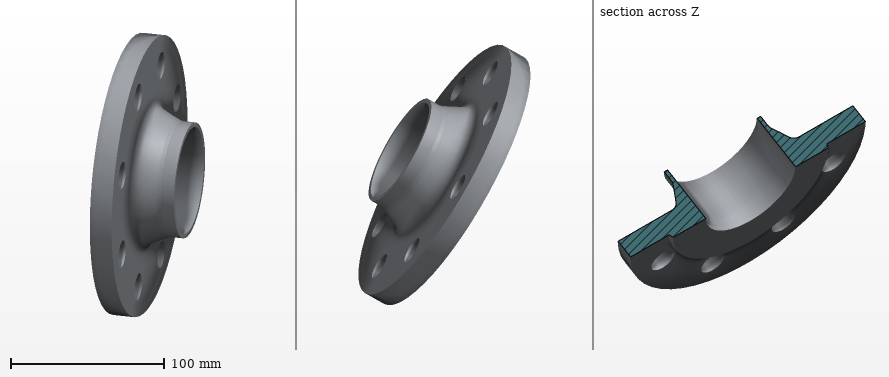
import cadquery as cq

total_length = 45.0
raised_face_height = 3.1
flange_back = 18.0
neck_straight_length = 10.0
cone_end = total_length - neck_straight_length

flange_diameter = 185.0
raised_face_diameter = 122.1
raised_face_root_diameter = 124.3
hub_diameter = 92.5
neck_diameter = 76.0
bore_diameter = 70.3

hub_fillet_radius = 6.5
neck_fillet_radius = 6.0

bolt_count = 8
bolt_hole_diameter = 18.0
bolt_circle_diameter = 145.0
bolt_start_angle = 180.0 / bolt_count


def make_body():
    """Revolve the flange, tapered hub and neck about the X axis."""
    profile = (
        cq.Workplane("XY")
        .moveTo(0, 0)
        .lineTo(0, raised_face_diameter / 2)
        .lineTo(raised_face_height, raised_face_root_diameter / 2)
        .lineTo(raised_face_height, flange_diameter / 2)
        .lineTo(flange_back, flange_diameter / 2)
        .lineTo(flange_back, hub_diameter / 2)
        .lineTo(cone_end, neck_diameter / 2)
        .lineTo(total_length, neck_diameter / 2)
        .lineTo(total_length, 0)
        .close()
    )
    return profile.revolve(360, (0, 0, 0), (1, 0, 0))


def blend_circle(body, x, diameter, radius):
    """Fillet the circular edge of the given diameter at position x."""
    half = diameter / 2
    margin = 0.2
    edge_zone = cq.selectors.BoxSelector(
        (x - margin, -half - margin, -half - margin),
        (x + margin, half + margin, half + margin),
        boundingbox=True,
    )
    return body.edges(edge_zone).fillet(radius)


def cut_bore(body):
    bore = cq.Workplane("YZ").circle(bore_diameter / 2).extrude(total_length)
    return body.cut(bore)


def cut_bolt_holes(body):
    holes = (
        cq.Workplane("YZ")
        .polarArray(bolt_circle_diameter / 2, bolt_start_angle, 360, bolt_count)
        .circle(bolt_hole_diameter / 2)
        .extrude(flange_back)
    )
    return body.cut(holes)


body = make_body()
body = blend_circle(body, flange_back, hub_diameter, hub_fillet_radius)
body = blend_circle(body, cone_end, neck_diameter, neck_fillet_radius)
body = cut_bore(body)
result = cut_bolt_holes(body)